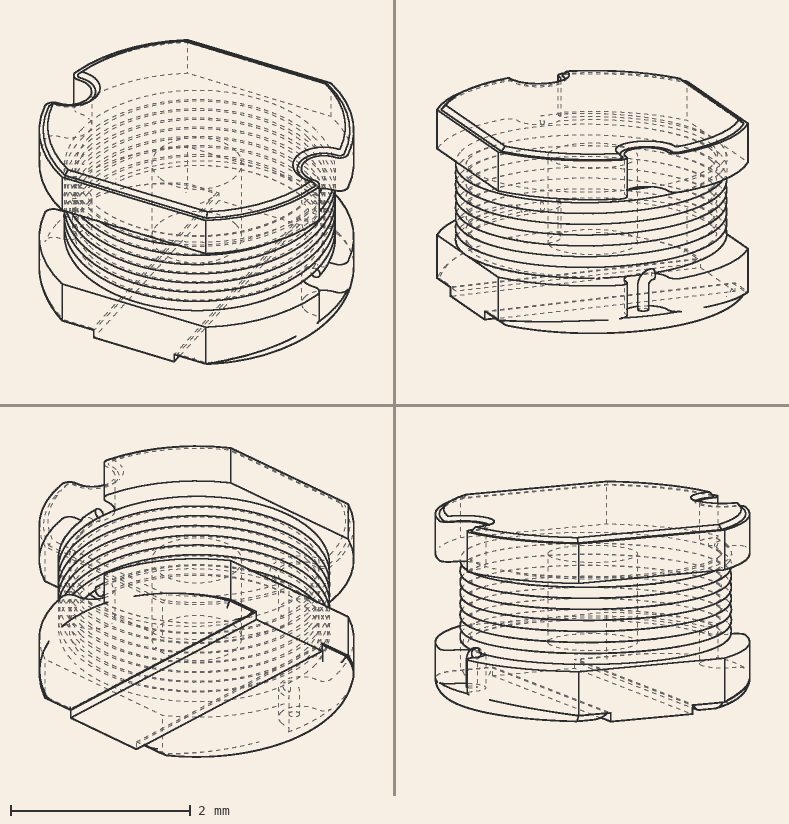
import cadquery as cq
import math

flange_radius = 1.75
flat_half_width = 1.5
notch_radius = 0.25
notch_center = 1.6
notch_corner_radius = 0.1

lower_flange_top = 0.6
upper_flange_bottom = 1.6
ledge_height = 2.05
core_height = 2.1
post_radius = 0.5
ledge_width = 0.045
top_chamfer = core_height - ledge_height

bar_half_width = 0.505
pad_inner_height = 0.1
pad_outer_height = 0.22
pad_blank_height = 0.3
pad_edge_radius = 0.2
pad_slope_start = math.sqrt(flange_radius**2 - flat_half_width**2)

wire_radius = 0.06
turns = 8
coil_axis_x = 0.04
coil_radius = 1.45
coil_height = upper_flange_bottom - lower_flange_top
coil_pitch = coil_height / turns

lead_x = -1.495
lead_bend_start = 0.5
lead_bend_radius = 0.12


def disc_with_flats(bottom, height):
    """Flange outline without notches."""
    slab = cq.Workplane("XY").box(
        2 * flange_radius, 2 * flat_half_width, height, centered=(True, True, False)
    )
    disc = cq.Workplane("XY").circle(flange_radius).extrude(height)
    return disc.intersect(slab).translate((0, 0, bottom))


def place(point, x_side, y_side):
    """Mirror a point of the first quadrant into the quadrant given by the two signs."""
    return (x_side * point[0], y_side * point[1])


def notched_plate(bottom, height, inset=0.0):
    """Flange plate with its whole outline moved inward by the inset."""
    radius = flange_radius - inset
    flat_y = flat_half_width - inset
    flat_x = math.sqrt(radius**2 - flat_y**2)
    notch_y = notch_radius + inset
    notch_x = notch_center - notch_y
    corner = notch_corner_radius - inset

    corner_center_y = notch_y + corner
    corner_center_x = math.sqrt((radius - corner) ** 2 - corner_center_y**2)
    outer_share = radius / (radius - corner)
    corner_end = (corner_center_x * outer_share, corner_center_y * outer_share)
    corner_end_angle = math.atan2(corner_center_y, corner_center_x)
    corner_mid_angle = (corner_end_angle - math.pi / 2) / 2
    corner_mid = (
        corner_center_x + corner * math.cos(corner_mid_angle),
        corner_center_y + corner * math.sin(corner_mid_angle),
    )
    outer_mid_angle = (math.atan2(flat_y, flat_x) + corner_end_angle) / 2
    outer_mid = (radius * math.cos(outer_mid_angle), radius * math.sin(outer_mid_angle))
    notch_start = (notch_center, notch_y)
    notch_outer = (corner_center_x, notch_y)

    outline = cq.Workplane("XY").workplane(offset=bottom).moveTo(-flat_x, flat_y)
    outline = outline.lineTo(flat_x, flat_y)
    for side in (1, -1):
        outline = (
            outline
            .threePointArc(place(outer_mid, side, side), place(corner_end, side, side))
            .threePointArc(place(corner_mid, side, side), place(notch_outer, side, side))
            .lineTo(*place(notch_start, side, side))
            .threePointArc((side * notch_x, 0), place(notch_start, side, -side))
            .lineTo(*place(notch_outer, side, -side))
            .threePointArc(place(corner_mid, side, -side), place(corner_end, side, -side))
            .threePointArc(place(outer_mid, side, -side), (side * flat_x, -side * flat_y))
        )
        if side == 1:
            outline = outline.lineTo(-flat_x, -flat_y)
    return outline.close().extrude(height)


def pad_space(side):
    """Wedge under one end of the lower flange, level near the bar and rising outward."""
    return (
        cq.Workplane("XZ")
        .moveTo(side * bar_half_width, 0)
        .lineTo(side * bar_half_width, pad_inner_height)
        .lineTo(side * pad_slope_start, pad_inner_height)
        .lineTo(side * flange_radius, pad_outer_height)
        .lineTo(side * flange_radius, 0)
        .close()
        .extrude(flange_radius, both=True)
    )


def notch_floor(side):
    """Block under one notch, up to the level of the pad's outer edge."""
    length = flange_radius - pad_slope_start
    width = 2 * (notch_radius + notch_corner_radius)
    block = cq.Workplane("XY").box(length, width, pad_outer_height, centered=(True, True, False))
    return block.translate((side * (pad_slope_start + length / 2), 0, 0))


def make_pad(side):
    """Solder pad with a rounded lower rim, filling the wedge and making a level notch floor."""
    keep = cq.Workplane("XY").box(
        flange_radius, 2 * flange_radius, pad_blank_height, centered=(True, True, False)
    ).translate((side * (bar_half_width + flange_radius / 2), 0, 0))
    blank = disc_with_flats(0, pad_blank_height).intersect(keep)
    return blank.faces("<Z").edges().fillet(pad_edge_radius).intersect(
        pad_space(side).union(notch_floor(side))
    )


def make_core():
    lower = notched_plate(0, lower_flange_top)
    for side in (1, -1):
        lower = lower.cut(pad_space(side)).union(make_pad(side))
    post = (
        cq.Workplane("XY").workplane(offset=lower_flange_top)
        .circle(post_radius).extrude(coil_height)
    )
    upper = notched_plate(upper_flange_bottom, ledge_height - upper_flange_bottom)
    cap = notched_plate(upper_flange_bottom, core_height - upper_flange_bottom, ledge_width)
    cap = cap.faces(">Z").edges().chamfer(top_chamfer)
    return lower.union(post).union(upper).union(cap)


def make_coil():
    path = cq.Wire.makeHelix(coil_pitch, coil_height, coil_radius)
    coil = (
        cq.Workplane("XZ", origin=(coil_radius, 0, 0))
        .circle(wire_radius)
        .sweep(cq.Workplane(obj=path), isFrenet=True)
    )
    return coil.translate((coil_axis_x, 0, lower_flange_top))


def make_lead():
    """Wire end that rises from the pad and bends toward -Y against the coil."""
    path = (
        cq.Workplane("YZ", origin=(lead_x, 0, 0))
        .moveTo(0, pad_outer_height)
        .lineTo(0, lead_bend_start)
        .radiusArc((-lead_bend_radius, lead_bend_start + lead_bend_radius), -lead_bend_radius)
    )
    return (
        cq.Workplane("XY", origin=(lead_x, 0, pad_outer_height))
        .circle(wire_radius)
        .sweep(path)
    )


lead = make_lead()
coil = make_coil().cut(lead)
core = make_core().cut(coil)

result = cq.Compound.makeCompound([*core.solids().vals(), *coil.solids().vals(), *lead.vals()])